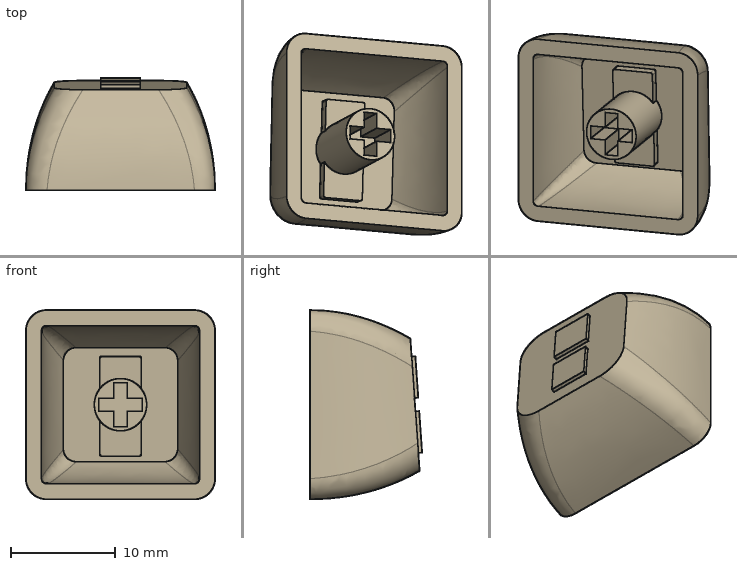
import cadquery as cq
import math

base_width = 18.1
base_corner_radius = 2.0
crown_corner_radius = 2.7
crown_height = 10.06
crown_tilt = 4.0
side_radius = 20.0
section_count = 6

wall = 1.5
roof = wall
ceiling_height = crown_height - roof / math.cos(math.radians(crown_tilt))

plate_width = 4.0
plate_length = 9.5
plate_thickness = 1.0
plate_corner_radius = 0.2
stem_diameter = 5.0
stem_start = 1.0
cross_length = 4.2
cross_arm_width = 1.27
cross_depth = 4.0
pad_width = 3.8
pad_length = 4.0
pad_offset = 2.63
pad_height = 0.36


def tilted_plane(height, tilt):
    """Plane facing +Y at the given height and leaning towards +Z; its local y runs along +Z."""
    angle = math.radians(tilt)
    return cq.Plane(
        origin=(0, height, 0),
        xDir=(-1, 0, 0),
        normal=(0, math.cos(angle), math.sin(angle)),
    )


def rounded_square(plane, width, corner_radius):
    """Sketch of a square with round corners, centred on the plane."""
    square = cq.Sketch().rect(width, width).vertices().fillet(corner_radius)
    return square.moved(plane.location)


def dome(height, inset):
    """Solid within the cap's sides moved inwards by inset, from the base to a tilted top at height."""
    radius = side_radius - inset
    sections = []
    for index in range(section_count):
        progress = index / (section_count - 1)
        section_height = progress * height
        narrowing = radius - math.sqrt(radius**2 - section_height**2)
        width = base_width - 2 * (inset + narrowing)
        outer_corner = base_corner_radius + progress * (crown_corner_radius - base_corner_radius)
        plane = tilted_plane(section_height, progress * crown_tilt)
        sections.append(rounded_square(plane, width, outer_corner - inset))
    return cq.Workplane().placeSketch(*sections).loft()


def legend_pads():
    """Two pads, one above the other, from the ceiling through the roof to just above the crown."""
    return (
        cq.Workplane(crown_plane)
        .workplane(offset=-roof)
        .pushPoints([(0, -pad_offset), (0, pad_offset)])
        .rect(pad_width, pad_length)
        .extrude(roof + pad_height)
    )


def backing_plate():
    """Rounded plate against the ceiling, on the inside of the cap."""
    outline = (
        cq.Sketch()
        .rect(plate_width, plate_length)
        .vertices()
        .fillet(plate_corner_radius)
    )
    return (
        cq.Workplane(crown_plane)
        .workplane(offset=-roof)
        .placeSketch(outline)
        .extrude(-plate_thickness)
    )


def stem():
    """Round stem along Y up to the ceiling, with a cross socket in its free end."""
    base_plane = tilted_plane(stem_start, 0)
    post = cq.Workplane(base_plane).circle(stem_diameter / 2).extrude(crown_height - stem_start)
    socket = (
        cq.Workplane(base_plane)
        .rect(cross_length, cross_arm_width)
        .extrude(cross_depth)
        .union(cq.Workplane(base_plane).rect(cross_arm_width, cross_length).extrude(cross_depth))
    )
    return post.intersect(dome(ceiling_height, wall)).cut(socket)


crown_plane = tilted_plane(crown_height, crown_tilt)

insert = stem().union(backing_plate()).union(legend_pads())
cap = dome(crown_height, 0).cut(dome(ceiling_height, wall)).cut(legend_pads())

result = cq.Compound.makeCompound([cap.solids().val(), insert.solids().val()])